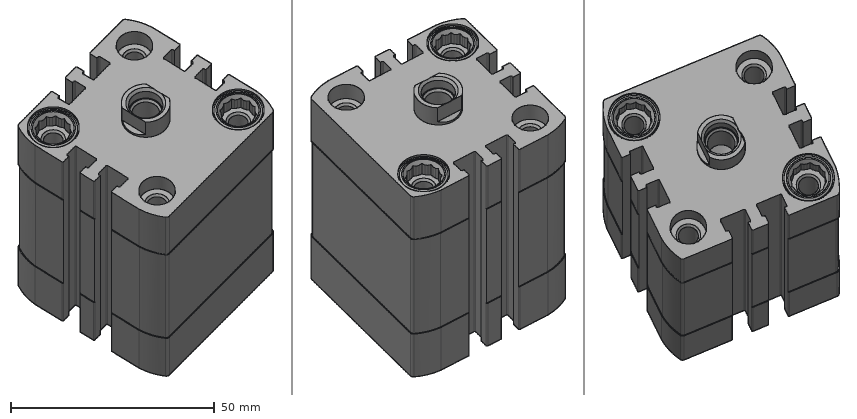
import cadquery as cq
import math

WIDTH = 47.0
TOTAL_HEIGHT = 69.05
ROD_PROTRUSION = 6.0
HOUSING_HEIGHT = TOTAL_HEIGHT - ROD_PROTRUSION
CAP_HEIGHT = 15.0
BARREL_INSET = 0.2
HALF_WIDTH = WIDTH / 2

BULGE_START = 16.3
BULGE_RADIUS = 15.9
CORNER_Y = 21.2
CORNER_FILLET = 1.0

SLOT_OFFSET = 4.9
SLOT_MOUTH = 5.25
SLOT_WIDTH = 6.8
SLOT_DEPTH = 6.0
SLOT_LIP = 2.4
SLOT_EDGE_FILLET = 0.3
SLOT_SIDE_ANGLES = (0, 90, 180)

HOLE_OFFSET = 16.2
BORE_DIAMETER = 4.9
BORE_CHAMFER_DIAMETER = 6.0
BORE_CHAMFER_DEPTH = 0.55
COUNTERBORE_DIAMETER = 9.0
COUNTERBORE_DEPTH = 5.0

HEAD_RECESS_DIAMETER = 12.8
HEAD_RECESS_DEPTH = 0.6
HEAD_DIAMETER = 12.0
HEAD_RIM_DIAMETER = 10.9
HEAD_SINK = 0.35
SOCKET_MOUTH_DIAMETER = 10.2
SOCKET_DIAMETER = 8.4
SOCKET_CONE_END = 1.45
SOCKET_DEPTH = 4.8
SPLINE_COUNT = 12
SPLINE_ROOT_DIAMETER = 9.0
SPLINE_HALF_ANGLE = 10.0

ROD_DIAMETER = 12.0
ROD_LENGTH = ROD_PROTRUSION + CAP_HEIGHT
FLAT_ACROSS = 9.5
FLAT_HEIGHT = 4.8
FLAT_FLOOR_SLOPE = 25.0
THREAD_MOUTH_DIAMETER = 9.8
THREAD_MOUTH_DEPTH = 0.7
THREAD_DIAMETER = 8.4
THREAD_DEPTH = 3.3
STEP_CONE_DIAMETER = 7.9
STEP_CONE_DEPTH = 0.55
DRILL_DIAMETER = 6.8
DRILL_DEPTH = 12.4
DRILL_TIP_ANGLE = 118.0

PICK_REACH = 0.1
CUT_MARGIN = 0.7


def revolve_profile(points):
    """Solid of revolution about Z from (radius, height) points."""
    return cq.Workplane("XZ").polyline(points).close().revolve(360, (0, 0), (0, 1))


def cylinder(diameter, bottom, height):
    return cq.Workplane("XY", origin=(0, 0, bottom)).circle(diameter / 2).extrude(height)


def bulge_midpoint(start, end):
    """Middle of the arc of BULGE_RADIUS over a chord, on the side away from the axis."""
    middle_x = (start[0] + end[0]) / 2
    middle_y = (start[1] + end[1]) / 2
    chord_x = end[0] - start[0]
    chord_y = end[1] - start[1]
    chord = math.hypot(chord_x, chord_y)
    sagitta = BULGE_RADIUS - math.sqrt(BULGE_RADIUS**2 - chord**2 / 4)
    return (middle_x - chord_y / chord * sagitta, middle_y + chord_x / chord * sagitta)


def outline_prism(inset, bottom, height):
    """Square column with bulged corners, all sides drawn in by the inset."""
    half = HALF_WIDTH - inset
    start = (BULGE_START, half)
    end = (half, CORNER_Y - inset)
    mid = bulge_midpoint(start, end)
    outline = (
        cq.Workplane("XY", origin=(0, 0, bottom))
        .moveTo(-start[0], start[1])
        .lineTo(*start)
        .threePointArc(mid, end)
        .lineTo(end[0], -end[1])
        .threePointArc((mid[0], -mid[1]), (start[0], -start[1]))
        .lineTo(-start[0], -start[1])
        .threePointArc((-mid[0], -mid[1]), (-end[0], -end[1]))
        .lineTo(-end[0], end[1])
        .threePointArc((-mid[0], mid[1]), (-start[0], start[1]))
        .close()
    )
    prism = outline.extrude(height)
    for side_x in (-end[0], end[0]):
        for side_y in (-end[1], end[1]):
            corner = cq.selectors.BoxSelector(
                (side_x - PICK_REACH, side_y - PICK_REACH, bottom),
                (side_x + PICK_REACH, side_y + PICK_REACH, bottom + height),
            )
            prism = prism.edges("|Z").edges(corner).fillet(CORNER_FILLET)
    return prism


def slot_pair(bottom, height):
    """Two undercut slots in the -Y side, overshooting the side by a margin."""
    pair = cq.Workplane("XY")
    for centre_x in (-SLOT_OFFSET, SLOT_OFFSET):
        mouth = (
            cq.Workplane("XY", origin=(centre_x, -HALF_WIDTH, bottom))
            .rect(SLOT_MOUTH, 2 * (SLOT_LIP + CUT_MARGIN))
            .extrude(height)
        )
        undercut = (
            cq.Workplane("XY", origin=(centre_x, -HALF_WIDTH + (SLOT_LIP + SLOT_DEPTH) / 2, bottom))
            .rect(SLOT_WIDTH, SLOT_DEPTH - SLOT_LIP)
            .extrude(height)
            .edges("|Z")
            .fillet(SLOT_EDGE_FILLET)
        )
        pair = pair.add(mouth.union(undercut))
    return pair.combine()


def cut_slots(section, bottom, height):
    slots = slot_pair(bottom, height)
    for angle in SLOT_SIDE_ANGLES:
        section = section.cut(slots.rotate((0, 0, 0), (0, 0, 1), -angle))
    return section


def round_slot_mouths(cap):
    """Round the edges where the slots open through the sides of an end cap."""
    half_mouth = SLOT_MOUTH / 2
    places = []
    for centre in (-SLOT_OFFSET, SLOT_OFFSET):
        for along in (centre - half_mouth, centre + half_mouth):
            places += [(along, -HALF_WIDTH), (along, HALF_WIDTH), (-HALF_WIDTH, along)]
    for x, y in places:
        mouth_edge = cq.selectors.BoxSelector(
            (x - PICK_REACH, y - PICK_REACH, 0), (x + PICK_REACH, y + PICK_REACH, HOUSING_HEIGHT)
        )
        cap = cap.edges("|Z").edges(mouth_edge).fillet(SLOT_EDGE_FILLET)
    return cap


def make_end_cap(bottom):
    cap = outline_prism(0, bottom, CAP_HEIGHT)
    return round_slot_mouths(cut_slots(cap, bottom, CAP_HEIGHT))


def make_barrel():
    height = HOUSING_HEIGHT - 2 * CAP_HEIGHT
    return cut_slots(outline_prism(BARREL_INSET, CAP_HEIGHT, height), CAP_HEIGHT, height)


def stepped_hole(floor_depth):
    """Through bore with a chamfer that starts at the given depth below the cap face."""
    bore = BORE_DIAMETER / 2
    chamfer = BORE_CHAMFER_DIAMETER / 2
    floor = HOUSING_HEIGHT - floor_depth
    return revolve_profile([
        (0, 0),
        (bore, 0),
        (bore, floor - BORE_CHAMFER_DEPTH),
        (chamfer, floor),
        (0, floor),
    ])


def counterbored_hole():
    counterbore = cylinder(
        COUNTERBORE_DIAMETER, HOUSING_HEIGHT - COUNTERBORE_DEPTH, COUNTERBORE_DEPTH
    )
    return stepped_hole(COUNTERBORE_DEPTH).union(counterbore)


def spline_socket():
    """Round socket with V grooves evenly spaced around it."""
    tip = SOCKET_DIAMETER / 2
    root = SPLINE_ROOT_DIAMETER / 2
    half = math.radians(SPLINE_HALF_ANGLE)
    base = cq.Workplane("XY", origin=(0, 0, HOUSING_HEIGHT - SOCKET_DEPTH))
    height = SOCKET_DEPTH - HEAD_SINK
    socket = base.circle(tip).extrude(height)
    groove = (
        base.moveTo(0, 0)
        .lineTo(tip * math.cos(half), -tip * math.sin(half))
        .lineTo(root, 0)
        .lineTo(tip * math.cos(half), tip * math.sin(half))
        .close()
        .extrude(height)
    )
    for index in range(SPLINE_COUNT):
        socket = socket.union(groove.rotate((0, 0, 0), (0, 0, 1), index * 360 / SPLINE_COUNT))
    return socket


def screw_head_hole():
    """Space around and inside a sunk screw head with a splined socket."""
    head_top = HOUSING_HEIGHT - HEAD_SINK
    recess_floor = HOUSING_HEIGHT - HEAD_RECESS_DEPTH
    recess = revolve_profile([
        (0, HOUSING_HEIGHT),
        (HEAD_RECESS_DIAMETER / 2, HOUSING_HEIGHT),
        (HEAD_RECESS_DIAMETER / 2, recess_floor),
        (HEAD_DIAMETER / 2, recess_floor),
        (HEAD_RIM_DIAMETER / 2, head_top),
        (SOCKET_MOUTH_DIAMETER / 2, head_top),
        (SOCKET_DIAMETER / 2, HOUSING_HEIGHT - SOCKET_CONE_END),
        (0, HOUSING_HEIGHT - SOCKET_CONE_END),
    ])
    return stepped_hole(SOCKET_DEPTH).union(spline_socket()).union(recess)


def make_housing():
    housing = make_end_cap(0)
    housing = housing.union(make_barrel())
    housing = housing.union(make_end_cap(HOUSING_HEIGHT - CAP_HEIGHT))
    for side in (-1, 1):
        place = side * HOLE_OFFSET
        housing = housing.cut(counterbored_hole().translate((place, -place, 0)))
        housing = housing.cut(screw_head_hole().translate((place, place, 0)))
    rod_seat = cylinder(ROD_DIAMETER, TOTAL_HEIGHT - ROD_LENGTH, ROD_LENGTH)
    return housing.cut(rod_seat)


def flat_cutter():
    """Material removed for the wrench flat on the -Y side, with a floor falling outward."""
    inner = -FLAT_ACROSS / 2
    outer = -ROD_DIAMETER / 2 - CUT_MARGIN
    floor = TOTAL_HEIGHT - FLAT_HEIGHT
    drop = (inner - outer) * math.tan(math.radians(FLAT_FLOOR_SLOPE))
    return (
        cq.Workplane("YZ")
        .polyline([
            (inner, TOTAL_HEIGHT + CUT_MARGIN),
            (inner, floor),
            (outer, floor - drop),
            (outer, TOTAL_HEIGHT + CUT_MARGIN),
        ])
        .close()
        .extrude(ROD_DIAMETER / 2, both=True)
    )


def rod_hole():
    drill = DRILL_DIAMETER / 2
    tip_height = drill / math.tan(math.radians(DRILL_TIP_ANGLE / 2))
    return revolve_profile([
        (0, TOTAL_HEIGHT),
        (THREAD_MOUTH_DIAMETER / 2, TOTAL_HEIGHT),
        (THREAD_DIAMETER / 2, TOTAL_HEIGHT - THREAD_MOUTH_DEPTH),
        (THREAD_DIAMETER / 2, TOTAL_HEIGHT - THREAD_DEPTH),
        (STEP_CONE_DIAMETER / 2, TOTAL_HEIGHT - THREAD_DEPTH),
        (drill, TOTAL_HEIGHT - THREAD_DEPTH - STEP_CONE_DEPTH),
        (drill, TOTAL_HEIGHT - DRILL_DEPTH),
        (0, TOTAL_HEIGHT - DRILL_DEPTH - tip_height),
    ])


def make_rod():
    rod = cylinder(ROD_DIAMETER, TOTAL_HEIGHT - ROD_LENGTH, ROD_LENGTH)
    flat = flat_cutter()
    rod = rod.cut(flat).cut(flat.mirror("XZ"))
    return rod.cut(rod_hole())


housing = make_housing()
rod = make_rod()

result = cq.Compound.makeCompound([housing.val(), rod.val()])